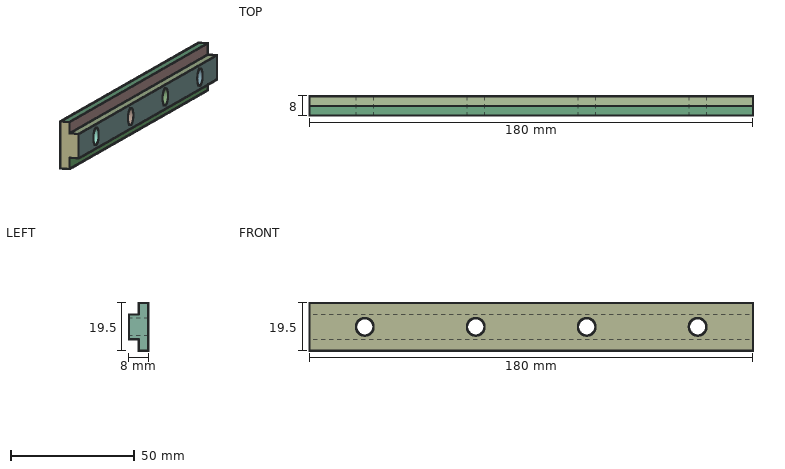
import cadquery as cq

length = 180.0
plate_height = 19.5
plate_thickness = 4.0
total_depth = 8.0
rib_height = 10.0
rib_depth = total_depth - plate_thickness

hole_count = 4
hole_diameter = 7.0
hole_spacing = length / hole_count


def bar(depth, height, front_y):
    """Full-length bar, centred in X and Z, starting at front_y."""
    return (
        cq.Workplane("XY")
        .box(length, depth, height, centered=(True, False, True))
        .translate((0, front_y, 0))
    )


plate = bar(plate_thickness, plate_height, 0)
rib = bar(rib_depth, rib_height, plate_thickness)

holes = (
    cq.Workplane("XZ")
    .rarray(hole_spacing, 1.8, hole_count, 1)
    .circle(hole_diameter / 2)
    .extrude(-total_depth)
)

result = plate.union(rib).cut(holes)